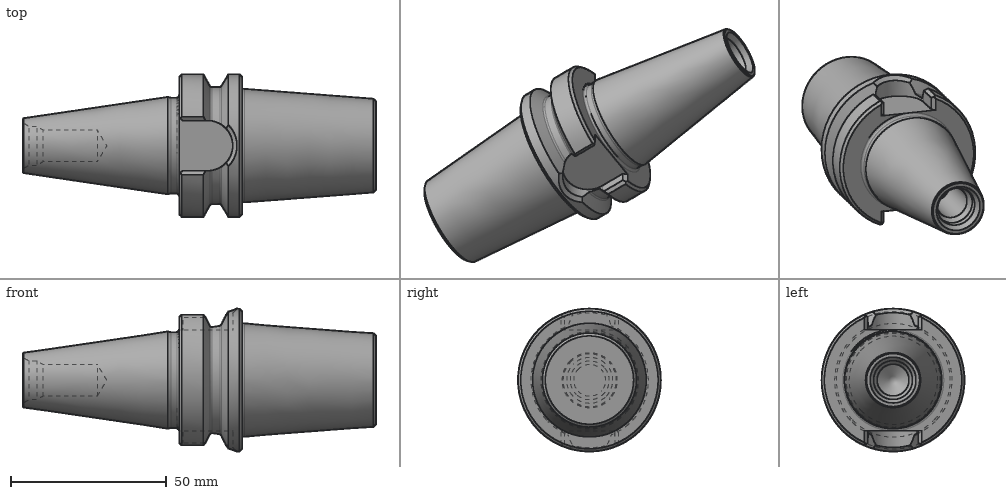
import cadquery as cq
import math

LENGTH = 113.4
TAPER_END = 46.5
NECK_START = 47.4
FLANGE_START = 50.1
FRONT_RIM_END = 58.0
GROOVE_START = 60.2
GROOVE_END = 63.5
REAR_RIM_START = 66.0
FLANGE_END = 70.4
NOSE_START = 71.1

TAPER_SMALL_RADIUS = 8.8
TAPER_LARGE_RADIUS = 15.6
NECK_RADIUS = 15.4
FLANGE_DIAMETER = 45.9
FLANGE_RADIUS = FLANGE_DIAMETER / 2
GROOVE_RADIUS = 18.8
NOSE_LARGE_RADIUS = 18.3
NOSE_SMALL_RADIUS = 15.1

TAPER_EDGE_CHAMFER = 0.3
FLANGE_CHAMFER = 0.9
NECK_FILLET = 0.8
GROOVE_FILLET = 0.7
NOSE_EDGE_CHAMFER = 0.9

SLOT_COUNT = 2
SLOT_WIDTH = 16.1
SLOT_FLOOR = 16.2
SLOT_END = 67.4
SLOT_FLARE = 1.1
SLOT_RIM_CHAMFER = 1.4

MOUTH_RADIUS = 7.4
PILOT_RADIUS = 6.2
PILOT_DEPTH = 4.4
THREAD_RADIUS = 5.1
THREAD_DEPTH = 23.8
BORE_CONE_HALF_ANGLE = 30.0
DRILL_POINT_ANGLE = 118.0


def revolve_profile(points):
    """Revolve a closed outline of (x, radius) points about the X axis."""
    return cq.Workplane("XY").polyline(points).close().revolve(360, (0, 0, 0), (1, 0, 0))


def fillet_ring(body, x, radius, fillet_radius):
    """Round the circular edge of the given radius about the X axis at station x."""
    margin = 0.01
    ring = cq.selectors.BoxSelector(
        (x - margin, -radius - margin, -radius - margin),
        (x + margin, radius + margin, radius + margin),
        boundingbox=True,
    )
    return body.edges(ring).edges("%CIRCLE").fillet(fillet_radius)


def make_body():
    rim_radius = FLANGE_RADIUS - FLANGE_CHAMFER
    body = revolve_profile([
        (0, 0),
        (0, TAPER_SMALL_RADIUS - TAPER_EDGE_CHAMFER),
        (TAPER_EDGE_CHAMFER, TAPER_SMALL_RADIUS),
        (TAPER_END, TAPER_LARGE_RADIUS),
        (NECK_START, NECK_RADIUS),
        (FLANGE_START, NECK_RADIUS),
        (FLANGE_START, rim_radius),
        (FLANGE_START + FLANGE_CHAMFER, FLANGE_RADIUS),
        (FLANGE_END - FLANGE_CHAMFER, FLANGE_RADIUS),
        (FLANGE_END, rim_radius),
        (FLANGE_END, NOSE_LARGE_RADIUS),
        (NOSE_START, NOSE_LARGE_RADIUS),
        (LENGTH - NOSE_EDGE_CHAMFER, NOSE_SMALL_RADIUS),
        (LENGTH, NOSE_SMALL_RADIUS - NOSE_EDGE_CHAMFER),
        (LENGTH, 0),
    ])
    return fillet_ring(body, FLANGE_START, NECK_RADIUS, NECK_FILLET)


def make_groove():
    """V-groove ring between the front and rear rims of the flange."""
    groove = revolve_profile([
        (FRONT_RIM_END, FLANGE_RADIUS),
        (GROOVE_START, GROOVE_RADIUS),
        (GROOVE_END, GROOVE_RADIUS),
        (REAR_RIM_START, FLANGE_RADIUS),
    ])
    groove = fillet_ring(groove, GROOVE_START, GROOVE_RADIUS, GROOVE_FILLET)
    return fillet_ring(groove, GROOVE_END, GROOVE_RADIUS, GROOVE_FILLET)


def make_bore():
    point_length = THREAD_RADIUS / math.tan(math.radians(DRILL_POINT_ANGLE / 2))
    cone_slope = math.tan(math.radians(BORE_CONE_HALF_ANGLE))
    mouth_depth = (MOUTH_RADIUS - PILOT_RADIUS) / cone_slope
    thread_start = PILOT_DEPTH + (PILOT_RADIUS - THREAD_RADIUS) / cone_slope
    return revolve_profile([
        (0, 0),
        (0, MOUTH_RADIUS),
        (mouth_depth, PILOT_RADIUS),
        (PILOT_DEPTH, PILOT_RADIUS),
        (thread_start, THREAD_RADIUS),
        (THREAD_DEPTH, THREAD_RADIUS),
        (THREAD_DEPTH + point_length, 0),
    ])


def make_slot():
    """Round-ended drive slot on the +Z side, open through the flange face."""
    half_width = SLOT_WIDTH / 2
    arc_start = SLOT_END - half_width
    return (
        cq.Workplane("XY", origin=(0, 0, SLOT_FLOOR))
        .moveTo(FLANGE_START, -half_width)
        .lineTo(arc_start, -half_width)
        .threePointArc((SLOT_END, 0), (arc_start, half_width))
        .lineTo(FLANGE_START, half_width)
        .close()
        .extrude(FLANGE_RADIUS)
    )


def make_slot_flare():
    """Bevel of the slot walls where they meet the front face of the flange."""
    half_width = SLOT_WIDTH / 2
    flare = half_width + SLOT_FLARE
    return (
        cq.Workplane("XY", origin=(0, 0, SLOT_FLOOR))
        .polyline([
            (FLANGE_START, -flare),
            (FLANGE_START + SLOT_FLARE, -half_width),
            (FLANGE_START + SLOT_FLARE, half_width),
            (FLANGE_START, flare),
        ])
        .close()
        .extrude(FLANGE_RADIUS)
    )


def chamfer_slot_rim(body):
    """Bevel the edges where the slot walls break through the outer surface of the flange."""
    half_width = SLOT_WIDTH / 2
    margin = 0.1
    wall_edge_height = math.sqrt(FLANGE_RADIUS**2 - half_width**2) - margin
    rim_edges = cq.selectors.BoxSelector(
        (FLANGE_START + FLANGE_CHAMFER - margin, -half_width - margin, wall_edge_height),
        (SLOT_END + margin, half_width + margin, FLANGE_RADIUS + margin),
        boundingbox=True,
    )
    return body.edges(rim_edges).chamfer(SLOT_RIM_CHAMFER)


result = make_body().cut(make_bore())
for _ in range(SLOT_COUNT):
    result = chamfer_slot_rim(result.cut(make_slot())).cut(make_slot_flare())
    result = result.rotate((0, 0, 0), (1, 0, 0), 360 / SLOT_COUNT)
result = result.cut(make_groove())